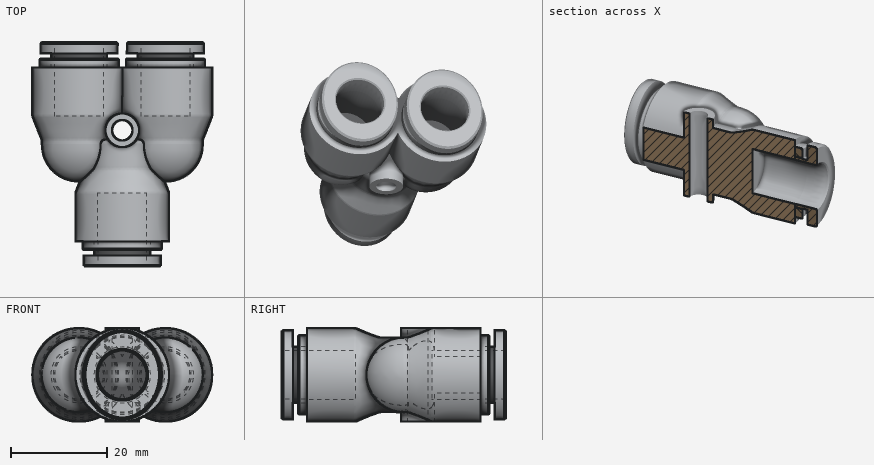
import cadquery as cq
import math


PORT_REACH = 23.4
BRANCH_OFFSET = 9.0

FLANGE_WIDTH = 16.1
FLANGE_HEIGHT = 18.6
FLANGE_THICKNESS = 2.4
FLANGE_CHAMFER = 0.4
SLEEVE_DIAMETER = 11.7
BUTTON_BORE = 10.15
BUTTON_BORE_MOUTH = 10.2
BORE_CHAMFER = 0.3

COLLAR_DIAMETER = 16.5
COLLAR_THICKNESS = 1.83
COLLAR_CHAMFER = 0.3
COLLAR_GAP = 1.08

BARREL_DIAMETER = 19.5
BARREL_LENGTH = 10.1
TAPER_LENGTH = 4.95
NECK_DIAMETER = 15.6
PROFILE_BLEND = 1.15
RING_MARGIN = 0.05
DOME_CENTRE = 2.1
STEM_ROUND = 0.95
SOCKET_BORE = 10.2

BOSS_DIAMETER = 7.0
BOSS_HOLE = 4.2
BOSS_Y = 5.0

flange_back = PORT_REACH - FLANGE_THICKNESS
collar_front = flange_back - COLLAR_GAP
barrel_end = collar_front - COLLAR_THICKNESS
taper_outer = barrel_end - BARREL_LENGTH
taper_inner = taper_outer - TAPER_LENGTH

barrel_radius = BARREL_DIAMETER / 2
neck_radius = NECK_DIAMETER / 2


def disc(diameter, start, end):
    """Round bar on the Y axis from start to end."""
    return cq.Workplane("XZ", origin=(0, end, 0)).circle(diameter / 2).extrude(end - start)


def front_port(shape):
    """Turn a port shape to face -Y on the middle axis."""
    return shape.rotate((0, 0, 0), (0, 0, 1), 180)


def branch_ports(shape):
    """Copies of a port shape on the two rear branch axes."""
    return [shape.translate((x, 0, 0)) for x in (-BRANCH_OFFSET, BRANCH_OFFSET)]


def all_ports(shape):
    return [front_port(shape), *branch_ports(shape)]


def blend_taper_ends(body):
    """Round both edges where a taper meets its barrel and its neck."""
    for position in (taper_outer, taper_inner):
        ring = cq.selectors.BoxSelector(
            (-BARREL_DIAMETER, position - RING_MARGIN, -BARREL_DIAMETER),
            (BARREL_DIAMETER, position + RING_MARGIN, BARREL_DIAMETER),
        )
        body = body.edges("%CIRCLE").edges(ring).fillet(PROFILE_BLEND)
    return body


def tapered_profile():
    """Half outline of a barrel and its taper, left open at the start of the neck."""
    return (
        cq.Workplane("XY")
        .moveTo(0, barrel_end)
        .lineTo(barrel_radius, barrel_end)
        .lineTo(barrel_radius, taper_outer)
        .lineTo(neck_radius, taper_inner)
    )


def revolve_about_port(profile):
    """Close a half outline along the port axis and turn it into a solid."""
    return profile.close().revolve(360, (0, 0, 0), (0, 1, 0))


def make_branch():
    """Rear barrel closed by a dome."""
    dome_slant = neck_radius * math.sqrt(0.5)
    profile = (
        tapered_profile()
        .lineTo(neck_radius, DOME_CENTRE)
        .threePointArc((dome_slant, DOME_CENTRE - dome_slant), (0, DOME_CENTRE - neck_radius))
    )
    return blend_taper_ends(revolve_about_port(profile))


def make_stem():
    """Front barrel whose neck runs back between the branches."""
    profile = tapered_profile().lineTo(neck_radius, -taper_inner).lineTo(0, -taper_inner)
    stem = blend_taper_ends(revolve_about_port(profile))
    return front_port(stem.faces("<Y").edges().fillet(STEM_ROUND))


def make_housing():
    body = make_stem()
    for branch in branch_ports(make_branch()):
        body = body.union(branch)

    boss_plane = cq.Workplane("XY", origin=(0, BOSS_Y, -barrel_radius))
    body = body.union(boss_plane.circle(BOSS_DIAMETER / 2).extrude(BARREL_DIAMETER))
    body = body.cut(boss_plane.circle(BOSS_HOLE / 2).extrude(BARREL_DIAMETER))

    for socket in all_ports(disc(SOCKET_BORE, taper_outer, barrel_end)):
        body = body.cut(socket)
    return body


def make_collar():
    """Ring around the sleeve, seated on the end of a barrel."""
    ring = disc(COLLAR_DIAMETER, barrel_end, collar_front).faces(">Y").edges().chamfer(COLLAR_CHAMFER)
    return ring.cut(disc(SLEEVE_DIAMETER, barrel_end, collar_front))


def make_button():
    """Oval flange with a sleeve that passes through the collar."""
    flange = (
        cq.Workplane("XZ", origin=(0, PORT_REACH, 0))
        .ellipse(FLANGE_WIDTH / 2, FLANGE_HEIGHT / 2)
        .extrude(FLANGE_THICKNESS)
        .faces(">Y").edges().chamfer(FLANGE_CHAMFER)
    )
    sleeve = disc(SLEEVE_DIAMETER, barrel_end, flange_back)
    bore_profile = (
        cq.Workplane("XY")
        .moveTo(0, barrel_end)
        .lineTo(BUTTON_BORE / 2, barrel_end)
        .lineTo(BUTTON_BORE / 2, collar_front)
        .lineTo(BUTTON_BORE_MOUTH / 2, PORT_REACH - BORE_CHAMFER)
        .lineTo(BUTTON_BORE_MOUTH / 2 + BORE_CHAMFER, PORT_REACH)
        .lineTo(0, PORT_REACH)
    )
    return flange.union(sleeve).cut(revolve_about_port(bore_profile))


housing = make_housing()
collars = all_ports(make_collar())
buttons = all_ports(make_button())

result = cq.Compound.makeCompound(
    [housing.val()]
    + [collar.val() for collar in collars]
    + [button.val() for button in buttons]
)